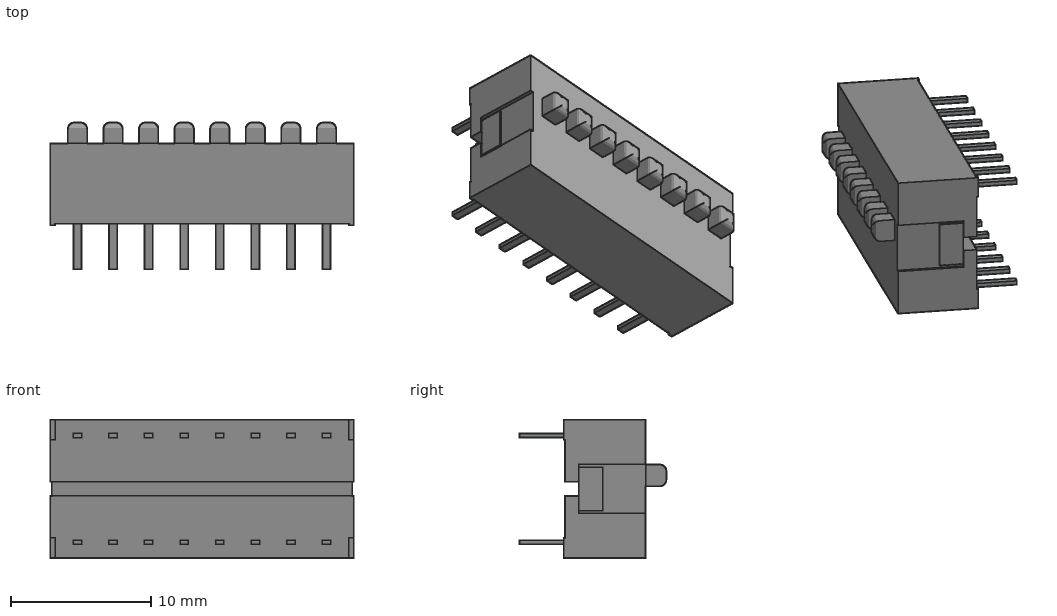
import cadquery as cq


HOUSING_LENGTH = 21.68
HOUSING_HEIGHT = 9.9
HOUSING_DEPTH = 5.75

FOOT_LENGTH = 0.35
FOOT_HEIGHT = 1.45
FOOT_DEPTH = 0.1

CHANNEL_WIDTH = 1.0
FLOOR_DEPTH = 4.78
RECESS_HEIGHT = 3.5
RECESS_INSET = 0.25

PAD_HEIGHT = 3.1
PAD_DEPTH = 1.72
PAD_THICKNESS = 0.15

POSITION_COUNT = 8
PITCH = 2.54
POSITIONS = [(i - (POSITION_COUNT - 1) / 2) * PITCH for i in range(POSITION_COUNT)]

SLIDER_LENGTH = 1.4
SLIDER_HEIGHT = 1.57
SLIDER_PROJECTION = 1.5
SLIDER_CENTER_Z = 0.96
SLIDER_FILLET = 0.5

TOTAL_DEPTH = 10.5
PIN_WIDTH = 0.6
PIN_THICKNESS = 0.3
ROW_SPACING = 7.62
PIN_TIP_DEPTH = TOTAL_DEPTH - SLIDER_PROJECTION

OVERLAP = 0.5


def block(x_range, y_range, z_range):
    """Axis-aligned box spanning the given (low, high) ranges."""
    low, high = zip(x_range, y_range, z_range)
    size = [b - a for a, b in zip(low, high)]
    return cq.Workplane("XY").box(*size, centered=False).translate(low)


def span(center, width):
    """Range of the given width around a center."""
    return (center - width / 2, center + width / 2)


def make_foot(x_side, z_side):
    """Standoff foot flush with one corner of the housing."""
    center_x = x_side * (HOUSING_LENGTH - FOOT_LENGTH) / 2
    center_z = z_side * (HOUSING_HEIGHT - FOOT_HEIGHT) / 2
    depth_range = (-HOUSING_DEPTH - FOOT_DEPTH, -HOUSING_DEPTH + OVERLAP)
    return block(span(center_x, FOOT_LENGTH), depth_range, span(center_z, FOOT_HEIGHT))


def make_end_recess(x_side):
    """Shallow cut in one end face, leaving the raised pad by the channel floor."""
    center_x = x_side * (HOUSING_LENGTH - RECESS_INSET) / 2
    recess = block(span(center_x, RECESS_INSET), (-FLOOR_DEPTH, 0), span(0, RECESS_HEIGHT))
    pad_x = x_side * (HOUSING_LENGTH / 2 - RECESS_INSET + PAD_THICKNESS / 2)
    pad_depth_range = (-FLOOR_DEPTH, -FLOOR_DEPTH + PAD_DEPTH)
    pad = block(span(pad_x, PAD_THICKNESS), pad_depth_range, span(0, PAD_HEIGHT))
    return recess.cut(pad)


def make_slider(center_x):
    """Slider with the four edges of its outer face rounded."""
    slider = block(
        span(center_x, SLIDER_LENGTH),
        (-OVERLAP, SLIDER_PROJECTION),
        span(SLIDER_CENTER_Z, SLIDER_HEIGHT),
    )
    return slider.faces(">Y").edges().fillet(SLIDER_FILLET)


def make_pin(center_x, center_z):
    """Flat pin standing out of the pin side."""
    depth_range = (-PIN_TIP_DEPTH, -HOUSING_DEPTH + OVERLAP)
    return block(span(center_x, PIN_WIDTH), depth_range, span(center_z, PIN_THICKNESS))


def make_housing():
    """Body with feet, full-length channel and end recesses."""
    housing = block(span(0, HOUSING_LENGTH), (-HOUSING_DEPTH, 0), span(0, HOUSING_HEIGHT))
    channel_depth_range = (-HOUSING_DEPTH, -FLOOR_DEPTH)
    channel = block(span(0, HOUSING_LENGTH), channel_depth_range, span(0, CHANNEL_WIDTH))
    housing = housing.cut(channel)
    for x_side in (-1, 1):
        housing = housing.cut(make_end_recess(x_side))
        for z_side in (-1, 1):
            housing = housing.union(make_foot(x_side, z_side))
    return housing


result = make_housing()
for position in POSITIONS:
    result = result.union(make_slider(position))
    for row_side in (-1, 1):
        result = result.union(make_pin(position, row_side * ROW_SPACING / 2))